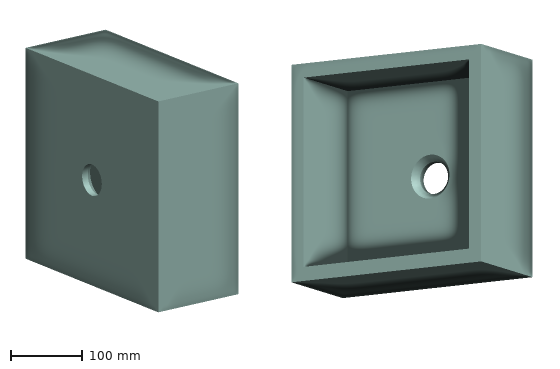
import cadquery as cq

side = 310.0
depth = 140.0
wall = 20.0
hole_diameter = 46.0
straight_length = 10.0
flare_growth = 8.5

block = cq.Workplane("XY").box(side, depth, side, centered=(True, False, True))

cavity_side = side - 2 * wall
cavity = (
    cq.Workplane("XY")
    .box(cavity_side, depth - wall, cavity_side, centered=(True, False, True))
    .translate((0, wall, 0))
)

hole_radius = hole_diameter / 2
flare_radius = hole_radius + flare_growth
hole = (
    cq.Workplane("XY")
    .polyline([
        (0, 0),
        (hole_radius, 0),
        (hole_radius, straight_length),
        (flare_radius, wall),
        (0, wall),
    ])
    .close()
    .revolve(360, (0, 0, 0), (0, 1, 0))
)

result = block.cut(cavity).cut(hole)